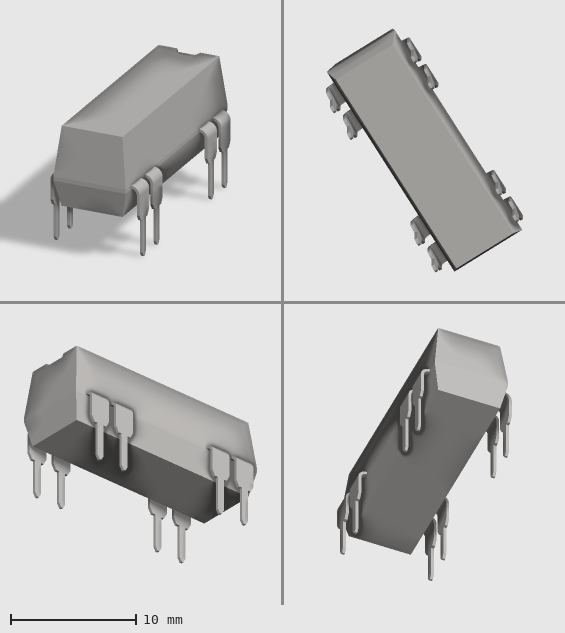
import cadquery as cq
import math

length = 19.1
width = 6.36
height = 6.95
side_taper = 0.5
lower_height = 2.3
band_height = 0.36

notch_radius = 1.0
notch_depth = 0.3

row_width = 7.87
lead_thickness = 0.25
lead_drop = 3.69
lead_pitch = 2.54
lead_steps = (-3, -2, 2, 3)

blade_width = 1.78
shoulder_width = 1.2
shoulder_height = 0.52
pin_width = 0.61
tip_width = 0.2
tip_height = 0.36
pin_length = 3.29

band_top = lower_height + band_height
face_length = length - 2 * side_taper
face_width = width - 2 * side_taper
lead_top = lower_height + (band_height + lead_thickness) / 2
tip_z = -lead_drop
shoulder_z = tip_z + pin_length
bend_radius = (row_width - width) / 2


def make_lower_housing():
    """Lower moulding: a flared base with the vertical band on top of it."""
    base = (
        cq.Workplane("XY")
        .rect(face_width, face_length)
        .workplane(offset=lower_height)
        .rect(width, length)
        .loft(ruled=True)
    )
    return base.faces(">Z").workplane().rect(width, length).extrude(band_height)


def make_upper_housing():
    """Upper moulding: a tapered cap with a round index notch in its +Y edge."""
    cap = (
        cq.Workplane("XY", origin=(0, 0, band_top))
        .rect(width, length)
        .workplane(offset=height - band_top)
        .rect(face_width, face_length)
        .loft(ruled=True)
    )
    notch = (
        cq.Workplane("XY", origin=(0, face_length / 2, height - notch_depth))
        .circle(notch_radius)
        .extrude(notch_depth)
    )
    return cap.cut(notch)


def make_lead(side, y):
    """Lead on the +X (side = 1) or -X (side = -1) flank, bent down beside the housing."""
    inner_radius = bend_radius - lead_thickness
    bend_z = lead_top - bend_radius
    bend_x = width / 2
    outer_x = row_width / 2
    inner_x = outer_x - lead_thickness
    diagonal = math.sqrt(0.5)

    strip = (
        cq.Workplane("XZ")
        .moveTo(bend_x, lead_top)
        .threePointArc(
            (bend_x + bend_radius * diagonal, bend_z + bend_radius * diagonal),
            (outer_x, bend_z),
        )
        .lineTo(outer_x, tip_z)
        .lineTo(inner_x, tip_z)
        .lineTo(inner_x, bend_z)
        .threePointArc(
            (bend_x + inner_radius * diagonal, bend_z + inner_radius * diagonal),
            (bend_x, lead_top - lead_thickness),
        )
        .close()
        .extrude(blade_width / 2, both=True)
    )
    half_outline = [
        (tip_width / 2, tip_z),
        (pin_width / 2, tip_z + tip_height),
        (pin_width / 2, shoulder_z),
        (shoulder_width / 2, shoulder_z),
        (blade_width / 2, shoulder_z + shoulder_height),
        (blade_width / 2, lead_top),
    ]
    mirrored_outline = [(-y_edge, z) for y_edge, z in reversed(half_outline)]
    blank = cq.Workplane("YZ").polyline(half_outline + mirrored_outline).close().extrude(row_width)
    lead = strip.intersect(blank)
    if side < 0:
        lead = lead.mirror("YZ")
    return lead.translate((0, y, 0))


lower_housing = make_lower_housing()
upper_housing = make_upper_housing()
leads = [make_lead(side, step * lead_pitch) for side in (-1, 1) for step in lead_steps]

result = cq.Compound.makeCompound(
    [lower_housing.val(), upper_housing.val(), *[lead.val() for lead in leads]]
)